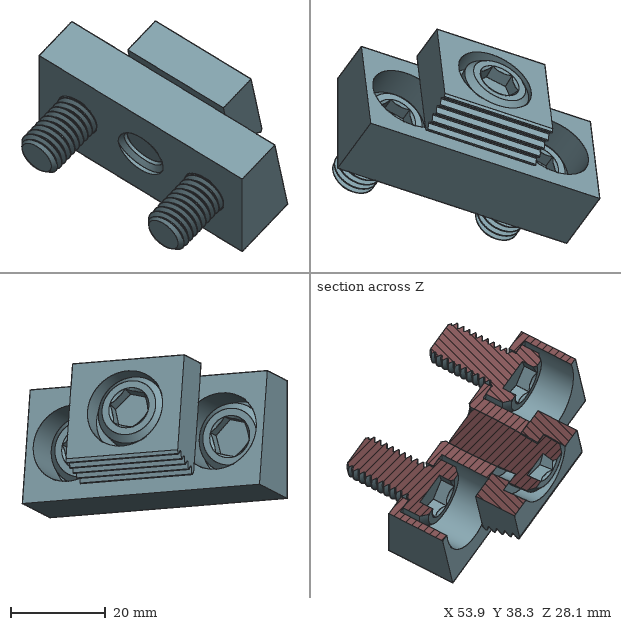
import cadquery as cq
import math

TILT = 10.0
tilt_sin = math.sin(math.radians(TILT))
tilt_cos = math.cos(math.radians(TILT))
tilt_tan = math.tan(math.radians(TILT))

BASE_LENGTH = 53.85
BASE_HEIGHT = 25.35
BASE_DEPTH = 15.85

JAW_WIDTH = 25.35
JAW_TOP = 28.15
JAW_DEPTH = 9.65
JAW_SHIFT = 0.95

TOOTH_COUNT = 5
TOOTH_PITCH = 2.1
TOOTH_ROW_ANGLE = 20.0
TOOTH_FLANK_ANGLE = 30.0
TOOTH_FLAT = 0.295
FIRST_TOOTH_Y = 23.95
FIRST_TOOTH_Z = 6.15

SHANK_RADIUS = 5.0
SHANK_LENGTH = 16.0
HEAD_RADIUS = 7.5
HEAD_HEIGHT = 5.5
HEAD_TOP_RADIUS = 6.1
SOCKET_FLATS = 7.85
SOCKET_DEPTH = 3.25
SOCKET_LEAD_IN = 0.55
SOCKET_TURN = 45.0
COUNTERBORE_RADIUS = 8.5

THREAD_PITCH = 1.5
THREAD_DEPTH = 0.9
THREAD_CREST = THREAD_PITCH / 8
THREAD_FLANK_ANGLE = 30.0
THREAD_LEAD = 1.55
CUTTER_OVERSHOOT = 0.1

MOUNT_SPACING = 33.6
MOUNT_HEIGHT = BASE_HEIGHT / 2
MOUNT_TIP_Y = -14.1
MOUNT_TIP_CHAMFER = 1.15
MOUNT_HOLE_RADIUS = 5.15

CLAMP_AXIS_Z = 13.25
CLAMP_TIP_DEPTH = 1.5
CLAMP_TIP_CHAMFER = 0.4
COUNTERSINK_RADIUS = 6.1
COUNTERSINK_ANGLE = 90.0
COUNTERSINK_FLOOR = SHANK_RADIUS * tilt_sin
JAW_HOLE_RADIUS = 6.1

mount_seat_y = MOUNT_TIP_Y + SHANK_LENGTH
mount_centres = [-MOUNT_SPACING / 2, MOUNT_SPACING / 2]
clamp_seat = CLAMP_TIP_DEPTH + SHANK_LENGTH
CUT_LENGTH = BASE_LENGTH


def slope_y(z):
    """Y of the sloping contact face between base and jaw at height z."""
    return BASE_DEPTH - z * tilt_tan


def mount_plane(x, y):
    """Plane square to a mounting screw, with its normal towards the head."""
    return cq.Plane(origin=(x, y, MOUNT_HEIGHT), xDir=(1, 0, 0), normal=(0, 1, 0))


def clamp_plane(distance, x=0.0):
    """Plane square to the clamp screw, at a distance along its axis from the base's front face."""
    origin = (x, distance * tilt_cos, CLAMP_AXIS_Z + distance * tilt_sin)
    return cq.Plane(origin=origin, xDir=(1, 0, 0), normal=(0, tilt_cos, tilt_sin))


def make_base():
    profile = [(0, 0), (BASE_DEPTH, 0), (slope_y(BASE_HEIGHT), BASE_HEIGHT), (0, BASE_HEIGHT)]
    base = cq.Workplane("YZ").polyline(profile).close().extrude(BASE_LENGTH / 2, both=True)

    for x in mount_centres:
        base = base.cut(cq.Workplane(mount_plane(x, 0)).circle(MOUNT_HOLE_RADIUS).extrude(CUT_LENGTH))
        base = base.cut(
            cq.Workplane(mount_plane(x, mount_seat_y)).circle(COUNTERBORE_RADIUS).extrude(CUT_LENGTH)
        )

    base = base.cut(cq.Workplane(clamp_plane(0)).circle(SHANK_RADIUS).extrude(CUT_LENGTH, both=True))
    half_angle = math.radians(COUNTERSINK_ANGLE / 2)
    countersink_mouth = COUNTERSINK_FLOOR - (COUNTERSINK_RADIUS - SHANK_RADIUS) / math.tan(half_angle)
    countersink = (
        cq.Workplane("XZ")
        .moveTo(0, -CUT_LENGTH)
        .lineTo(COUNTERSINK_RADIUS, -CUT_LENGTH)
        .lineTo(COUNTERSINK_RADIUS, countersink_mouth)
        .lineTo(SHANK_RADIUS, COUNTERSINK_FLOOR)
        .lineTo(0, COUNTERSINK_FLOOR)
        .close()
        .revolve(360, (0, 0), (0, 1))
    )
    return base.cut(cq.Workplane(countersink.val().moved(cq.Location(clamp_plane(0)))))


def make_jaw():
    row_angle = math.radians(TOOTH_ROW_ANGLE)
    row_slope = math.tan(row_angle)

    front_top = slope_y(JAW_TOP)
    back_top = front_top + JAW_DEPTH

    def underside_corner(top_y):
        """Point where the leaning side that starts at top_y meets the line of tooth tips."""
        tip_line_z = FIRST_TOOTH_Z + (top_y + JAW_TOP * tilt_tan - FIRST_TOOTH_Y) * row_slope
        z = tip_line_z / (1 + tilt_tan * row_slope)
        return (top_y + (JAW_TOP - z) * tilt_tan, z)

    blank = [
        (front_top, JAW_TOP),
        (back_top, JAW_TOP),
        underside_corner(back_top),
        underside_corner(front_top),
    ]
    jaw = cq.Workplane("YZ").polyline(blank).close().extrude(JAW_WIDTH / 2, both=True)

    root_half = TOOTH_FLAT / 2
    mouth_half = (TOOTH_PITCH - TOOTH_FLAT) / 2
    groove_depth = (mouth_half - root_half) / math.tan(math.radians(TOOTH_FLANK_ANGLE))
    groove = [
        (-mouth_half, 0),
        (-root_half, groove_depth),
        (root_half, groove_depth),
        (mouth_half, 0),
        (mouth_half, -groove_depth),
        (-mouth_half, -groove_depth),
    ]
    tooth_row = cq.Plane(
        origin=(0, FIRST_TOOTH_Y, FIRST_TOOTH_Z),
        xDir=(0, -math.cos(row_angle), -math.sin(row_angle)),
        normal=(-1, 0, 0),
    )
    for index in range(TOOTH_COUNT + 1):
        middle = (index - 0.5) * TOOTH_PITCH
        outline = [(middle + along, rise) for along, rise in groove]
        jaw = jaw.cut(cq.Workplane(tooth_row).polyline(outline).close().extrude(JAW_WIDTH, both=True))

    jaw = jaw.translate((JAW_SHIFT, 0, 0))

    seat = clamp_plane(clamp_seat, JAW_SHIFT)
    jaw = jaw.cut(cq.Workplane(seat).circle(JAW_HOLE_RADIUS).extrude(-CUT_LENGTH))
    return jaw.cut(cq.Workplane(seat).circle(COUNTERBORE_RADIUS).extrude(CUT_LENGTH))


def make_screw(tip_chamfer):
    """Plain socket screw on the Z axis, with the underside of its head on Z = 0."""
    head_chamfer = HEAD_RADIUS - HEAD_TOP_RADIUS
    screw = (
        cq.Workplane("XZ")
        .moveTo(0, -SHANK_LENGTH)
        .lineTo(SHANK_RADIUS - tip_chamfer, -SHANK_LENGTH)
        .lineTo(SHANK_RADIUS, tip_chamfer - SHANK_LENGTH)
        .lineTo(SHANK_RADIUS, 0)
        .lineTo(HEAD_RADIUS, 0)
        .lineTo(HEAD_RADIUS, HEAD_HEIGHT - head_chamfer)
        .lineTo(HEAD_TOP_RADIUS, HEAD_HEIGHT)
        .lineTo(0, HEAD_HEIGHT)
        .close()
        .revolve(360, (0, 0), (0, 1))
    )

    socket_corners = SOCKET_FLATS / math.cos(math.radians(30))
    top = cq.Workplane("XY", origin=(0, 0, HEAD_HEIGHT)).transformed(rotate=(0, 0, SOCKET_TURN))
    screw = screw.cut(top.polygon(6, socket_corners).extrude(-SOCKET_DEPTH))
    lead_in = cq.Solid.makeCone(
        socket_corners / 2, socket_corners / 2 - SOCKET_LEAD_IN, SOCKET_LEAD_IN,
        pnt=(0, 0, HEAD_HEIGHT), dir=(0, 0, -1),
    )
    return screw.cut(cq.Workplane(lead_in))


def cut_thread(screw):
    """Cut a right-hand V thread from past the tip up to just below the head."""
    start_z = -SHANK_LENGTH - THREAD_LEAD
    root_radius = SHANK_RADIUS - THREAD_DEPTH
    flank_slope = math.tan(math.radians(THREAD_FLANK_ANGLE))
    mouth_half = (THREAD_PITCH - THREAD_CREST) / 2
    root_half = mouth_half - THREAD_DEPTH * flank_slope
    outer_radius = SHANK_RADIUS + CUTTER_OVERSHOOT
    outer_half = mouth_half + CUTTER_OVERSHOOT * flank_slope
    turns = math.floor((SHANK_LENGTH + THREAD_LEAD) / THREAD_PITCH)
    helix = cq.Wire.makeHelix(THREAD_PITCH, turns * THREAD_PITCH, SHANK_RADIUS, center=(0, 0, start_z))
    groove = (
        cq.Workplane("XZ")
        .polyline([
            (root_radius, start_z - root_half),
            (outer_radius, start_z - outer_half),
            (outer_radius, start_z + outer_half),
            (root_radius, start_z + root_half),
        ])
        .close()
        .sweep(cq.Workplane(helix), isFrenet=True)
    )
    return screw.cut(groove)


base = make_base()
jaw = make_jaw()
clamp_screw = make_screw(CLAMP_TIP_CHAMFER).val().moved(cq.Location(clamp_plane(clamp_seat)))
mount_screw = cut_thread(make_screw(MOUNT_TIP_CHAMFER)).val()
mount_screws = [mount_screw.moved(cq.Location(mount_plane(x, mount_seat_y))) for x in mount_centres]

result = cq.Compound.makeCompound([base.val(), jaw.val(), clamp_screw, *mount_screws])